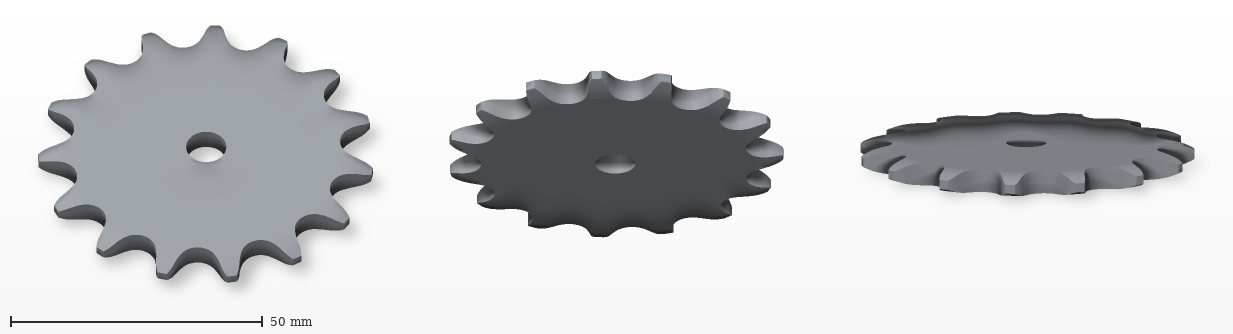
import cadquery as cq
import math

tooth_count = 15
overall_width = 66.6
thickness = 4.5
pitch_radius = 30.6
roller_diameter = 7.8
seating_radius = 3.9
bore_diameter = 8.0
face_radius = 27.6
tip_thickness = 1.8

tooth_step = 360 / tooth_count
first_tooth_angle = -90
widest_tooth_tilt = first_tooth_angle + 4 * tooth_step

seating_angle = 35 + 60 / tooth_count
working_angle = 18 - 56 / tooth_count
topping_angle = 17 - 64 / tooth_count
working_offset = 0.8 * roller_diameter
topping_offset = 1.4 * roller_diameter
working_radius = seating_radius + working_offset
topping_radius = (
    working_offset * math.cos(math.radians(working_angle))
    + topping_offset * math.cos(math.radians(topping_angle))
    - working_radius
)


def point_from(center, distance, angle):
    """Point at a distance and an angle in degrees from a center."""
    turn = math.radians(angle)
    return (center[0] + distance * math.cos(turn), center[1] + distance * math.sin(turn))


def arc_points(center, radius, start_angle, end_angle):
    """Start, middle and end point of an arc."""
    middle_angle = (start_angle + end_angle) / 2
    return [point_from(center, radius, angle) for angle in (start_angle, middle_angle, end_angle)]


def mirrored(arc):
    """The same arc on the other side of the tooth axis."""
    return [(x, -y) for x, y in arc]


def turned(arc, angle):
    """The arc turned about the sprocket axis."""
    cosine = math.cos(math.radians(angle))
    sine = math.sin(math.radians(angle))
    return [(x * cosine - y * sine, x * sine + y * cosine) for x, y in arc]


def tooth_flank():
    """Seat, working and topping arcs of the +Y flank of a tooth along +X, from gap to tip."""
    gap_angle = tooth_step / 2
    roller_center = point_from((0, 0), pitch_radius, gap_angle)

    seat_end_angle = gap_angle - 90 - seating_angle
    seat = arc_points(roller_center, seating_radius, gap_angle - 180, seat_end_angle)

    working_center = point_from(roller_center, -working_offset, seat_end_angle)
    working_end_angle = seat_end_angle + working_angle
    working = arc_points(working_center, working_radius, seat_end_angle, working_end_angle)

    topping_center = point_from(roller_center, topping_offset, -90)
    tilt = math.radians(widest_tooth_tilt)
    center_reach = topping_center[0] * math.cos(tilt) + topping_center[1] * math.sin(tilt)
    tip_reach = overall_width / 2 - center_reach
    tip_angle = widest_tooth_tilt + math.degrees(math.acos(tip_reach / topping_radius))
    topping = arc_points(topping_center, topping_radius, working_end_angle + 180, tip_angle)
    return [seat, working, topping]


def toothed_plate(flank, tip_radius):
    """Plate of full thickness with the tooth outline, centred on the XY plane."""
    tip_corner = flank[-1][-1]
    rising_flank = [mirrored(arc) for arc in flank]
    tip = [mirrored([tip_corner])[0], (tip_radius, 0), tip_corner]
    falling_flank = [arc[::-1] for arc in reversed(flank)]
    tooth = rising_flank + [tip] + falling_flank

    outline_start = turned(tooth[0], first_tooth_angle)[0]
    outline = cq.Workplane("XY").workplane(offset=-thickness / 2).moveTo(*outline_start)
    for index in range(tooth_count):
        for arc in tooth:
            start, middle, end = turned(arc, first_tooth_angle + index * tooth_step)
            if arc in (rising_flank[-1], falling_flank[1]):
                outline = outline.lineTo(*start)
            outline = outline.threePointArc(middle, end)
    return outline.close().extrude(thickness, clean=False)


def rim_envelope(tip_radius):
    """Disc whose sides curve from the flat faces down to the thin tooth tips."""
    half_face = thickness / 2
    half_tip = tip_thickness / 2
    width = tip_radius - face_radius
    drop = half_face - half_tip
    side_radius = (width ** 2 + drop ** 2) / (2 * drop)
    half_sweep = math.asin(width / side_radius) / 2
    middle_radius = face_radius + side_radius * math.sin(half_sweep)
    middle_height = half_face - side_radius * (1 - math.cos(half_sweep))
    return (
        cq.Workplane("XZ")
        .moveTo(0, -half_face)
        .lineTo(face_radius, -half_face)
        .threePointArc((middle_radius, -middle_height), (tip_radius, -half_tip))
        .lineTo(tip_radius, half_tip)
        .threePointArc((middle_radius, middle_height), (face_radius, half_face))
        .lineTo(0, half_face)
        .close()
        .revolve(360, (0, 0, 0), (0, 1, 0))
    )


flank = tooth_flank()
tip_radius = math.hypot(*flank[-1][-1])
bore = cq.Workplane("XY").workplane(offset=-thickness / 2).circle(bore_diameter / 2).extrude(thickness)

plate = toothed_plate(flank, tip_radius)
result = plate.intersect(rim_envelope(tip_radius), clean=False).cut(bore, clean=False)